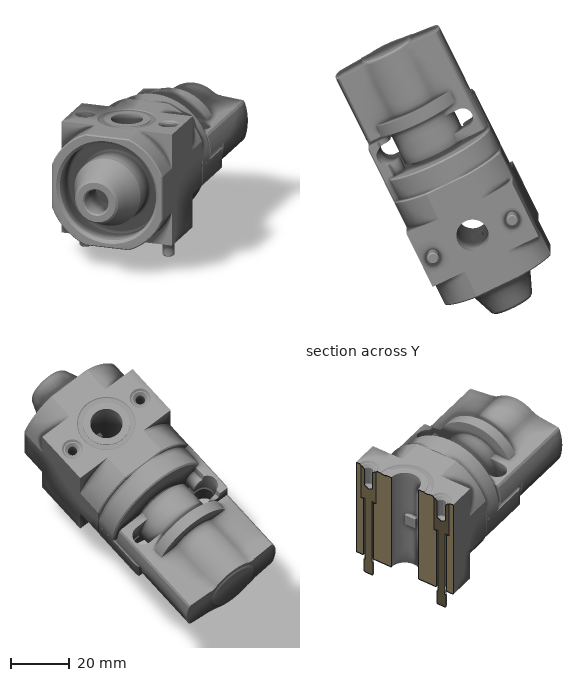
import cadquery as cq
import math

BLOCK = 40.0
HALF = BLOCK / 2
BAND_LENGTH = 20.2
ROUNDED_DIAMETER = 43.0
BLOCK_CHAMFER = 0.4

OVERALL_LENGTH = 98.39
TIP_Y = -31.0
NOZZLE_RADIUS = 12.0
TIP_RADIUS = 15.6 / 2
TIP_CHAMFER = 0.75
CONE_START_Y = -19.6
THREAD_BORE_RADIUS = 8.57 / 2
THREAD_BORE_DEPTH = 12.0
BORE_CHAMFER = 0.5
RECESS_FLOOR_Y = -11.0
RECESS_LIP_RADIUS = 18.4
RECESS_RADIUS = 17.4
RECESS_LIP_DEPTH = 1.0
RECESS_FILLET = 0.9

PORT_RADIUS = 11.0 / 2
SEAL_INNER_RADIUS = 16.0 / 2
SEAL_OUTER_RADIUS = 10.0
SEAL_DEPTH = 0.25
LUG_WIDTH = 4.2
LUG_OFFSET = 0.45
LUG_TIP_Y = 3.8
LUG_HEIGHT = 4.0

SCREW_X = 15.0
HEAD_RADIUS = 6.0 / 2
HEAD_TOP_Z = 19.4
HEAD_LENGTH = 14.0
HEAD_CONE_RADIUS = 5.2 / 2
TAP_RADIUS = 3.24 / 2
TAP_DEPTH = 8.0
DRILL_POINT_ANGLE = 118.0
TAP_TIP_HEIGHT = TAP_RADIUS / math.tan(math.radians(DRILL_POINT_ANGLE / 2))
SHANK_RADIUS = 2.9 / 2
THREAD_RADIUS = 4.0 / 2
SHANK_CONE_RADIUS = 1.55
SHANK_CONE_TOP_Z = -20.4
SHANK_CONE_BOTTOM_Z = -20.9
THREAD_TOP_Z = -21.5
SCREW_BOTTOM_Z = -27.3
THREAD_CHAMFER = 0.4
SCREW_BORE_CHAMFER = 0.6

COLLAR_RADIUS = 20.0
COLLAR_END_Y = 27.9
COLLAR_CHAMFER = 0.5
ARM_END_Y = 40.8
ARM_INNER_X = 12.0
ARM_BOTTOM_Z = 1.3
ARM_TOP_Z = 8.6
ARM_CHAMFER = 0.5
ARM_BEVEL_LENGTH = 1.2
ARM_BEVEL_DEPTH = 0.4
ARM_STEP_X = 16.3
ARM_STEP_WIDTH = 0.7
ARM_STEP_DEPTH = 2.2
ARM_INNER_ROUND = ARM_STEP_X - ARM_STEP_WIDTH - ARM_INNER_X

NECK_RADIUS = 19.1 / 2
HANDLE_START_Y = 29.2
FLANGE_START_Y = 42.2
FLANGE_END_Y = 46.2
HANDLE_END_Y = TIP_Y + OVERALL_LENGTH
HANDLE_RADIUS = 19.7
HANDLE_HALF_HEIGHT = 7.7
HANDLE_EDGE_X = 18.05
HANDLE_EDGE_HALF_HEIGHT = 7.15
HANDLE_BEVEL_SLOPE = 1.3
FRONT_CORE_RADIUS = 22.9 / 2
REAR_CORE_RADIUS = 11.15
FLANGE_RADIUS = 16.0
CORE_BLEND_RADIUS = 4.0
BLEND_CENTRE_Z = HANDLE_HALF_HEIGHT + CORE_BLEND_RADIUS
BLEND_CENTRE_DISTANCE = REAR_CORE_RADIUS + CORE_BLEND_RADIUS
BLEND_CENTRE_X = math.sqrt(BLEND_CENTRE_DISTANCE**2 - BLEND_CENTRE_Z**2)
END_FLAT_RADIUS = 8.9
END_STEP_RADIUS = 9.6
END_STEP_Y = HANDLE_END_Y - 0.4
END_RIM_Y = HANDLE_END_Y - 1.1

SLOT_Y = 35.65
SLOT_WIDTH = 7.1
HANDLE_SLOT_END_X = 17.1
ARM_SLOT_END_X = 18.6


def turned(profile):
    """Solid of revolution about Y from (radius, y) points."""
    return cq.Workplane("XY").polyline(profile).close().revolve(360, (0, 0), (0, 1))


def turned_upright(profile):
    """Solid of revolution about Z from (radius, z) points."""
    return cq.Workplane("XZ").polyline(profile).close().revolve(360, (0, 0), (0, 1))


def cylinder_y(radius, start_y, end_y):
    """Cylinder on the main axis between two Y positions."""
    return turned([(0, start_y), (radius, start_y), (radius, end_y), (0, end_y)])


def box_between(low, high):
    """Box between two opposite corners."""
    size = [b - a for a, b in zip(low, high)]
    return cq.Workplane("XY").box(*size, centered=False).translate(low)


def turned_half_way(part):
    """Copy of a part turned half a revolution about the main axis."""
    return part.rotate((0, 0, 0), (0, 1, 0), 180)


def make_block():
    band = cq.Workplane("XY").box(BLOCK, BAND_LENGTH, BLOCK)
    square = cq.Workplane("XY").box(BLOCK, BLOCK, BLOCK)
    rounded = square.intersect(cylinder_y(ROUNDED_DIAMETER / 2, -HALF, HALF))
    rounded = rounded.faces("<Y or >Y").chamfer(BLOCK_CHAMFER)
    return band.union(rounded)


def make_front_recess():
    lip_end_y = -HALF + RECESS_LIP_DEPTH
    fillet_y = RECESS_FLOOR_Y - RECESS_FILLET
    bend = RECESS_FILLET * (1 - math.sqrt(0.5))
    outer_floor = RECESS_RADIUS - RECESS_FILLET
    inner_floor = NOZZLE_RADIUS + RECESS_FILLET
    return (
        cq.Workplane("XY")
        .moveTo(NOZZLE_RADIUS, -HALF)
        .lineTo(RECESS_LIP_RADIUS, -HALF)
        .lineTo(RECESS_RADIUS, lip_end_y)
        .lineTo(RECESS_RADIUS, fillet_y)
        .threePointArc((RECESS_RADIUS - bend, RECESS_FLOOR_Y - bend), (outer_floor, RECESS_FLOOR_Y))
        .lineTo(inner_floor, RECESS_FLOOR_Y)
        .threePointArc((NOZZLE_RADIUS + bend, RECESS_FLOOR_Y - bend), (NOZZLE_RADIUS, fillet_y))
        .close()
        .revolve(360, (0, 0), (0, 1))
    )


def make_nozzle_cone():
    return turned(
        [
            (0, CONE_START_Y),
            (NOZZLE_RADIUS, CONE_START_Y),
            (TIP_RADIUS, TIP_Y + TIP_CHAMFER),
            (TIP_RADIUS - TIP_CHAMFER, TIP_Y),
            (0, TIP_Y),
        ]
    )


def make_nozzle_bore():
    bore_end_y = TIP_Y + THREAD_BORE_DEPTH
    return turned(
        [
            (0, TIP_Y),
            (THREAD_BORE_RADIUS + BORE_CHAMFER, TIP_Y),
            (THREAD_BORE_RADIUS, TIP_Y + BORE_CHAMFER),
            (THREAD_BORE_RADIUS, bore_end_y),
            (0, bore_end_y),
        ]
    )


def make_port():
    bore = cq.Workplane("XY").circle(PORT_RADIUS).extrude(HALF, both=True)
    for side in (1, -1):
        lug = cq.Workplane("XY").box(LUG_WIDTH, PORT_RADIUS, LUG_HEIGHT)
        bore = bore.cut(lug.translate((-side * LUG_OFFSET, side * (LUG_TIP_Y + PORT_RADIUS / 2), 0)))
    seal = turned_upright(
        [
            (SEAL_INNER_RADIUS, HALF),
            (SEAL_OUTER_RADIUS, HALF),
            (SEAL_OUTER_RADIUS - SEAL_DEPTH, HALF - SEAL_DEPTH),
            (SEAL_INNER_RADIUS, HALF - SEAL_DEPTH),
        ]
    )
    return bore.union(seal)


def make_screw_bore():
    ledge_z = HEAD_TOP_Z - HEAD_LENGTH
    return turned_upright(
        [
            (0, HALF),
            (HEAD_RADIUS + SCREW_BORE_CHAMFER, HALF),
            (HEAD_RADIUS, HALF - SCREW_BORE_CHAMFER),
            (HEAD_RADIUS, ledge_z),
            (THREAD_RADIUS, ledge_z),
            (THREAD_RADIUS, -HALF),
            (0, -HALF),
        ]
    )


def make_collar():
    collar = cylinder_y(COLLAR_RADIUS, HALF, COLLAR_END_Y)
    return collar.faces(">Y").edges().chamfer(COLLAR_CHAMFER)


def make_slot(end_x):
    """Slot at -X, cut straight through in Z, with its round end at the given distance from the axis."""
    radius = SLOT_WIDTH / 2
    round_x = -end_x + radius
    straight = box_between((round_x, SLOT_Y - radius, -HALF), (0, SLOT_Y + radius, HALF))
    end = cq.Workplane("XY").center(round_x, SLOT_Y).circle(radius).extrude(HALF, both=True)
    return straight.union(end)


def make_arm():
    round_top_x = -ARM_STEP_X + ARM_STEP_WIDTH
    round_top_z = ARM_TOP_Z - ARM_STEP_DEPTH
    round_centre_z = round_top_z - ARM_INNER_ROUND
    diagonal = ARM_INNER_ROUND * math.sqrt(0.5)
    arm = (
        cq.Workplane("XZ", origin=(0, ARM_END_Y, 0))
        .moveTo(-HALF, ARM_BOTTOM_Z)
        .lineTo(-HALF, ARM_TOP_Z - ARM_CHAMFER)
        .lineTo(-HALF + ARM_CHAMFER, ARM_TOP_Z)
        .lineTo(-ARM_STEP_X, ARM_TOP_Z)
        .lineTo(round_top_x, round_top_z)
        .threePointArc((round_top_x + diagonal, round_centre_z + diagonal), (-ARM_INNER_X, round_centre_z))
        .lineTo(-ARM_INNER_X, ARM_BOTTOM_Z)
        .close()
        .extrude(ARM_END_Y - HALF)
    )
    end_bevel = (
        cq.Workplane("XY")
        .polyline(
            [
                (-HALF, ARM_END_Y - ARM_BEVEL_LENGTH),
                (-HALF, ARM_END_Y),
                (-HALF + ARM_BEVEL_DEPTH, ARM_END_Y),
            ]
        )
        .close()
        .extrude(HALF)
    )
    lean = math.degrees(math.atan2(ARM_SLOT_END_X - HANDLE_SLOT_END_X, ARM_TOP_Z - ARM_BOTTOM_Z))
    pivot = (-HANDLE_SLOT_END_X, 0, ARM_BOTTOM_Z)
    pivot_end = (-HANDLE_SLOT_END_X, 1, ARM_BOTTOM_Z)
    slot = make_slot(HANDLE_SLOT_END_X).rotate(pivot, pivot_end, -lean)
    return arm.cut(end_bevel).cut(slot)


def make_core_blend():
    """Fillet strips between the rear core and both flat faces of the handle."""
    touch = REAR_CORE_RADIUS / BLEND_CENTRE_DISTANCE
    length = END_STEP_Y - FLANGE_END_Y
    wedge = (
        cq.Workplane("XZ", origin=(0, END_STEP_Y, 0))
        .polyline(
            [
                (-BLEND_CENTRE_X, 0),
                (-BLEND_CENTRE_X, HANDLE_HALF_HEIGHT),
                (-BLEND_CENTRE_X, BLEND_CENTRE_Z),
                (-BLEND_CENTRE_X * touch, BLEND_CENTRE_Z * touch),
                (0, 0),
            ]
        )
        .close()
        .extrude(length)
    )
    scoop = (
        cq.Workplane("XZ", origin=(0, END_STEP_Y, 0))
        .center(-BLEND_CENTRE_X, BLEND_CENTRE_Z)
        .circle(CORE_BLEND_RADIUS)
        .extrude(length)
    )
    strip = wedge.cut(scoop)
    strips = strip.union(strip.mirror("YZ"))
    return strips.union(strips.mirror("XY"))


def make_handle_slab():
    """Slab that falls away slightly from the core blends and is bevelled at its long edges."""
    rim_half_height = HANDLE_EDGE_HALF_HEIGHT - HANDLE_BEVEL_SLOPE * (HALF - HANDLE_EDGE_X)
    right_side = [
        (BLEND_CENTRE_X, HANDLE_HALF_HEIGHT),
        (HANDLE_EDGE_X, HANDLE_EDGE_HALF_HEIGHT),
        (HALF, rim_half_height),
        (HALF, -rim_half_height),
        (HANDLE_EDGE_X, -HANDLE_EDGE_HALF_HEIGHT),
        (BLEND_CENTRE_X, -HANDLE_HALF_HEIGHT),
    ]
    left_side = [(-x, -z) for x, z in right_side]
    profile = cq.Workplane("XZ", origin=(0, HANDLE_END_Y, 0)).polyline(right_side + left_side).close()
    return profile.extrude(HANDLE_END_Y - HANDLE_START_Y)


def make_handle():
    bar = turned(
        [
            (0, HANDLE_START_Y),
            (HANDLE_RADIUS, HANDLE_START_Y),
            (HANDLE_RADIUS, END_RIM_Y),
            (END_STEP_RADIUS, END_STEP_Y),
            (END_FLAT_RADIUS, HANDLE_END_Y),
            (0, HANDLE_END_Y),
        ]
    )
    flattened = bar.intersect(make_handle_slab())
    notch = box_between((-HALF, HANDLE_START_Y, 0), (0, FLANGE_START_Y, HALF))
    cutout = notch.union(make_slot(HANDLE_SLOT_END_X))
    flattened = flattened.cut(cutout).cut(turned_half_way(cutout))
    rear_core = bar.intersect(cylinder_y(REAR_CORE_RADIUS, FLANGE_END_Y, HANDLE_END_Y))
    return (
        flattened.union(rear_core)
        .union(make_core_blend())
        .union(cylinder_y(FRONT_CORE_RADIUS, HANDLE_START_Y, FLANGE_START_Y))
        .union(cylinder_y(FLANGE_RADIUS, FLANGE_START_Y, FLANGE_END_Y))
    )


def make_housing():
    block = make_block().cut(make_front_recess())
    block = block.cut(cylinder_y(RECESS_RADIUS, -HALF, CONE_START_Y))
    housing = block.union(make_nozzle_cone()).cut(make_nozzle_bore()).cut(make_port())
    for x in (-SCREW_X, SCREW_X):
        housing = housing.cut(make_screw_bore().translate((x, 0, 0)))
    arm = make_arm()
    return (
        housing.union(make_collar())
        .union(arm)
        .union(turned_half_way(arm))
        .union(cylinder_y(NECK_RADIUS, COLLAR_END_Y, HANDLE_START_Y))
        .union(make_handle())
    )


def make_screw():
    head_bottom_z = HEAD_TOP_Z - HEAD_LENGTH
    cone_bottom_z = HEAD_TOP_Z - (HEAD_CONE_RADIUS - TAP_RADIUS)
    tap_bottom_z = HEAD_TOP_Z - TAP_DEPTH
    return turned_upright(
        [
            (0, tap_bottom_z - TAP_TIP_HEIGHT),
            (TAP_RADIUS, tap_bottom_z),
            (TAP_RADIUS, cone_bottom_z),
            (HEAD_CONE_RADIUS, HEAD_TOP_Z),
            (HEAD_RADIUS, HEAD_TOP_Z),
            (HEAD_RADIUS, head_bottom_z),
            (SHANK_CONE_RADIUS, head_bottom_z),
            (SHANK_CONE_RADIUS, SHANK_CONE_TOP_Z),
            (SHANK_RADIUS, SHANK_CONE_BOTTOM_Z),
            (SHANK_RADIUS, THREAD_TOP_Z),
            (THREAD_RADIUS, THREAD_TOP_Z),
            (THREAD_RADIUS, SCREW_BOTTOM_Z + THREAD_CHAMFER),
            (THREAD_RADIUS - THREAD_CHAMFER, SCREW_BOTTOM_Z),
            (0, SCREW_BOTTOM_Z),
        ]
    )


housing = make_housing()
screws = [make_screw().translate((x, 0, 0)) for x in (-SCREW_X, SCREW_X)]

result = cq.Compound.makeCompound([housing.val(), *[screw.val() for screw in screws]])